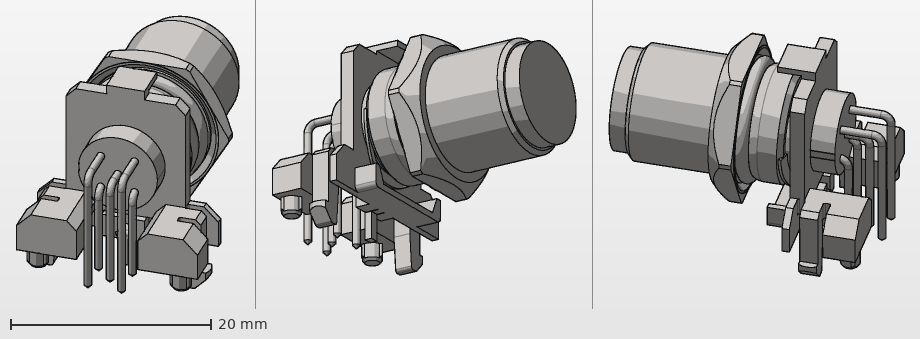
import cadquery as cq
import math


body_diameter = 12.0
collar_diameter = 10.6
shoulder_diameter = 11.1
neck_diameter = 9.7
drum_diameter = 8.3
front_end = 20.47
shoulder_front = 18.75
ring_seat_back = 5.97
ring_seat_radius = 5.65
rim_round_start = 5.0
rim_chamfer_start = 3.0
rim_back = 2.43
drum_length = 2.55
key_groove_width = 0.8
key_groove_depth = 0.08

seal_section_radius = 0.7
seal_outer_radius = 6.47
seal_station = 6.67

nut_flats = 15.0
nut_corner_radius = 8.52
nut_front = 9.8
nut_back = 7.03
nut_chamfer = 1.52
washer_height = 0.08
nut_countersink_radius = 7.25
nut_bore_radius = 6.5

plate_thickness = 1.5
plate_half_width = 6.28
plate_top = 7.5
plate_chamfer = 1.05
lug_top = 8.5
lug_half_width = 2.0
lug_front = 3.95
lug_thickness = 0.65

holder_width = 19.0
holder_top = -4.2
holder_bottom = -8.52
holder_outer_chamfer = 1.52
holder_ledge = -6.05
wing_thickness = 0.77
foot_inner = 3.2
foot_inner_chamfer = 1.02
foot_rear = -6.09
foot_block_front = -2.7
slot_corner_radius = 0.17

disc_slope = 0.3
disc_side_station = 2.82
disc_flat_station = 1.77
disc_thickness = 0.3
disc_top = 0.05
channel_wall = 0.66
channel_floor_half_width = 4.5
channel_corner_radius = 0.55

arm_front = -0.08
arm_rear = -1.96
arm_outer = 8.52
arm_chamfer = 0.55
arm_inner_top = 6.65
arm_inner_bottom = 6.97
hook_reach = 9.3
hook_ledge = -10.18
hook_tip_bottom = -10.73
hook_bottom = -12.2
hook_heel = 7.85
hook_round = 0.33
hook_nose_radius = 1.8

peg_x = 7.5
peg_y = -5.05
peg_diameter = 2.0
peg_tip_diameter = 1.55
peg_bottom = -10.35
peg_tip_slope = 1.3
peg_rib_diameter = 0.4
peg_rib_angles = (90, 210, 330)

rib_inner = 0.58
rib_outer = 2.25
rib_rear = -0.77
shelf_half_width = 0.77
shelf_rear = -0.85
shelf_top = -7.6
shelf_round = 0.41
shelf_taper_start = -8.05
tongue_half_width = 0.5
tongue_front = -0.08
tongue_bottom = -11.42

pin_diameter = 0.8
pin_pitch = 1.77
pin_tail_pitch = 1.75
pin_bend_radius = 1.0
pin_rear_end = -7.2
pin_bottom = -10.73

OVERLAP = 0.28

holder_half_width = holder_width / 2
body_radius = body_diameter / 2
neck_radius = neck_diameter / 2
pin_radius = pin_diameter / 2
wing_rear = plate_thickness - wing_thickness
pin_center_y = pin_rear_end + pin_tail_pitch + pin_radius
arm_middle = (arm_front + arm_rear) / 2


def box(x_range, y_range, z_range):
    """Axis-aligned block between pairs of limits."""
    limits = (x_range, y_range, z_range)
    lengths = [high - low for low, high in limits]
    corner = [low for low, high in limits]
    return cq.Workplane("XY").box(*lengths, centered=False).translate(tuple(corner))


def prism_along_y(outline, y_low, y_high):
    """Extrude an (x, z) outline between two Y stations."""
    return cq.Workplane("XZ", origin=(0, y_high, 0)).polyline(outline).close().extrude(y_high - y_low)


def rod_along_y(radius, y_low, y_high):
    return cq.Workplane("XZ", origin=(0, y_high, 0)).circle(radius).extrude(y_high - y_low)


def both_sides(solid):
    """A right-hand feature together with its mirror image."""
    return solid.union(solid.mirror("YZ"))


def make_body():
    """Revolved shell, from the mating collar back to the neck."""
    shoulder_radius = shoulder_diameter / 2
    shoulder_back = shoulder_front - (body_radius - shoulder_radius)
    rim_drop = body_radius - ring_seat_radius
    rim_length = rim_round_start - ring_seat_back
    round_radius = (rim_length**2 + rim_drop**2) / (2 * rim_drop)
    half_angle = math.asin(-rim_length / round_radius) / 2
    round_middle = (
        body_radius - round_radius * (1 - math.cos(half_angle)),
        rim_round_start + round_radius * math.sin(half_angle),
    )
    rim_back_radius = body_radius - (rim_chamfer_start - rim_back)
    shell = (
        cq.Workplane("XY")
        .moveTo(0, 0)
        .lineTo(neck_radius, 0)
        .lineTo(neck_radius, rim_back)
        .lineTo(rim_back_radius, rim_back)
        .lineTo(body_radius, rim_chamfer_start)
        .lineTo(body_radius, rim_round_start)
        .threePointArc(round_middle, (ring_seat_radius, ring_seat_back))
        .lineTo(ring_seat_radius, seal_station)
        .lineTo(body_radius, seal_station)
        .lineTo(body_radius, shoulder_back)
        .lineTo(shoulder_radius, shoulder_front)
        .lineTo(collar_diameter / 2, shoulder_front)
        .lineTo(collar_diameter / 2, front_end)
        .lineTo(0, front_end)
        .close()
        .revolve(360, (0, 0), (0, 1))
    )
    seal_mean_radius = seal_outer_radius - seal_section_radius
    seal = (
        cq.Workplane("XY", origin=(-seal_mean_radius, seal_station, 0))
        .circle(seal_section_radius)
        .revolve(360, (seal_mean_radius, 0), (seal_mean_radius, 1))
    )
    return shell.union(seal)


def make_nut():
    """Hexagon with a coned front, a washer face and a countersunk recess for the seal."""
    across_corners = nut_flats / math.cos(math.pi / 6)
    washer_back = nut_back - washer_height
    hexagon = (
        cq.Workplane("XZ", origin=(0, nut_front, 0))
        .polygon(6, across_corners)
        .extrude(nut_front - nut_back)
    )
    turned_limit = (
        cq.Workplane("XY")
        .polyline([
            (0, nut_back),
            (nut_corner_radius, nut_back),
            (nut_corner_radius, nut_front - nut_chamfer),
            (nut_corner_radius - nut_chamfer, nut_front),
            (0, nut_front),
        ])
        .close()
        .revolve(360, (0, 0), (0, 1))
    )
    recess = (
        cq.Workplane("XY")
        .polyline([
            (0, washer_back),
            (nut_countersink_radius, washer_back),
            (nut_bore_radius, washer_back + nut_countersink_radius - nut_bore_radius),
            (nut_bore_radius, seal_station + seal_section_radius),
            (0, seal_station + seal_section_radius),
        ])
        .close()
        .revolve(360, (0, 0), (0, 1))
    )
    washer = rod_along_y(nut_flats / 2, washer_back, nut_back)
    return hexagon.intersect(turned_limit).union(washer).cut(recess)


def make_drum():
    """Rear insulator with a shallow key groove on its -X side."""
    drum_radius = drum_diameter / 2
    drum = rod_along_y(drum_radius, -drum_length, 0)
    groove = box(
        (-drum_radius - OVERLAP, key_groove_depth - drum_radius),
        (-drum_length, 0),
        (-key_groove_width / 2, key_groove_width / 2),
    )
    return drum.cut(groove)


def make_plate():
    chamfer_x = plate_half_width - plate_chamfer
    right_edge = [
        (plate_half_width, holder_ledge),
        (plate_half_width, plate_top - plate_chamfer),
        (chamfer_x, plate_top),
    ]
    left_edge = [(-x, z) for x, z in reversed(right_edge)]
    plate = prism_along_y(right_edge + left_edge, 0, plate_thickness)
    lug_x = (-lug_half_width, lug_half_width)
    lug_stem = box(lug_x, (0, plate_thickness), (plate_top - OVERLAP, lug_top))
    lug_roof = box(lug_x, (0, lug_front), (lug_top - lug_thickness, lug_top))
    return plate.union(lug_stem).union(lug_roof)


def make_bent_disc():
    """Half disc of even thickness: flat in the middle, its sides bent forward."""
    flat_half_width = body_radius - (disc_side_station - disc_flat_station) / disc_slope
    front_edge = [
        (body_radius, disc_side_station),
        (flat_half_width, disc_flat_station),
        (-flat_half_width, disc_flat_station),
        (-body_radius, disc_side_station),
    ]
    back_edge = [(x, y - disc_thickness) for x, y in reversed(front_edge)]
    bent_sheet = (
        cq.Workplane("XY", origin=(0, 0, -body_radius))
        .polyline(front_edge + back_edge)
        .close()
        .extrude(body_radius + disc_top)
    )
    return bent_sheet.intersect(rod_along_y(body_radius, 0, disc_side_station))


def make_channel():
    """Open channel below the body, its inner walls leaning inward to the floor."""
    channel = (
        box((-body_radius, body_radius), (wing_rear, lug_front), (holder_bottom, holder_ledge))
        .edges("|Y and <Z")
        .fillet(channel_corner_radius)
    )
    mouth_half_width = body_radius - channel_wall
    floor_z = holder_bottom + channel_wall
    hollow = prism_along_y(
        [
            (mouth_half_width, holder_ledge),
            (channel_floor_half_width, floor_z),
            (-channel_floor_half_width, floor_z),
            (-mouth_half_width, holder_ledge),
        ],
        plate_thickness,
        lug_front,
    )
    return channel.cut(hollow)


def make_holder():
    """Front wall with wings, and a foot with a snap arm on either side."""
    shoulder_x = holder_half_width - holder_outer_chamfer
    shoulder_z = holder_top - holder_outer_chamfer
    outer_edge = [
        (shoulder_x, holder_top),
        (holder_half_width, shoulder_z),
        (holder_half_width, holder_bottom),
    ]
    wall = prism_along_y(
        outer_edge + [(-x, z) for x, z in reversed(outer_edge)], wing_rear, plate_thickness
    )

    inner_edge = [
        (foot_inner, holder_top - foot_inner_chamfer),
        (foot_inner + foot_inner_chamfer, holder_top),
    ]
    block = prism_along_y(
        inner_edge + outer_edge + [(foot_inner, holder_bottom)], foot_rear, foot_block_front
    )
    bridge_end = plate_half_width + slot_corner_radius
    bridge = prism_along_y(
        inner_edge + [
            (bridge_end, holder_top),
            (bridge_end, holder_ledge),
            (foot_inner, holder_ledge),
        ],
        foot_block_front,
        wing_rear,
    )
    arm = prism_along_y(
        [
            (plate_half_width, holder_top),
            (arm_outer - arm_chamfer, holder_top),
            (arm_outer, holder_top - arm_chamfer),
            (arm_outer, holder_bottom),
            (arm_inner_top, holder_bottom),
            (arm_inner_top, holder_ledge),
            (plate_half_width, holder_ledge),
        ],
        arm_rear,
        arm_front,
    )
    foot = block.union(bridge).union(arm)
    foot = foot.cut(make_slot(arm_front, wing_rear)).cut(make_slot(foot_block_front, arm_rear))
    holder = wall.union(make_plate()).union(both_sides(foot))
    return holder.union(both_sides(make_hook()))


def make_slot(y_low, y_high):
    """Gap beside a snap arm, with rounded corners at its inner end."""
    return (
        box((plate_half_width, holder_half_width), (y_low, y_high), (holder_bottom, holder_top))
        .edges("|Z and <X")
        .fillet(slot_corner_radius)
    )


def make_hook():
    """Lower end of a snap arm, with a nose rounded in plan."""
    hook = (
        prism_along_y(
            [
                (arm_inner_top, holder_bottom),
                (arm_outer, holder_bottom),
                (arm_outer, hook_ledge),
                (hook_reach, hook_ledge),
                (hook_reach, hook_tip_bottom),
                (hook_heel, hook_bottom),
                (arm_inner_bottom, hook_bottom),
            ],
            arm_rear,
            arm_front,
        )
        .edges("|Y and <Z")
        .fillet(hook_round)
    )
    nose = (
        cq.Workplane("XY", origin=(hook_reach - hook_nose_radius, arm_middle, hook_bottom))
        .circle(hook_nose_radius)
        .extrude(holder_bottom - hook_bottom)
    )
    shank = box((0, arm_outer), (arm_rear, arm_front), (hook_bottom, holder_bottom))
    return hook.intersect(nose.union(shank))


def make_peg():
    """Round peg with three crush ribs; one cone trims the tips of all of them."""
    peg_radius = peg_diameter / 2
    tip_radius = peg_tip_diameter / 2
    peg_top = holder_bottom + OVERLAP
    peg_length = peg_top - peg_bottom
    start = cq.Workplane("XY", origin=(0, 0, peg_bottom))
    rib_places = [
        (peg_radius * math.cos(math.radians(angle)), peg_radius * math.sin(math.radians(angle)))
        for angle in peg_rib_angles
    ]
    ribs = start.pushPoints(rib_places).circle(peg_rib_diameter / 2).extrude(peg_length)
    cone_top_radius = tip_radius + peg_length / peg_tip_slope
    tip_cone = cq.Workplane(cq.Solid.makeCone(
        tip_radius, cone_top_radius, peg_length, pnt=cq.Vector(0, 0, peg_bottom)
    ))
    peg = start.circle(peg_radius).extrude(peg_length).union(ribs).intersect(tip_cone)
    return peg.translate((peg_x, peg_y, 0))


def make_center_tongue():
    """Tongue and shelf, with the two ribs that carry the shelf on the wall."""
    rib = box((rib_inner, rib_outer), (rib_rear, wing_rear), (holder_bottom, holder_ledge))
    shelf = (
        prism_along_y(
            [
                (-shelf_half_width, shelf_top),
                (shelf_half_width, shelf_top),
                (shelf_half_width, shelf_taper_start),
                (tongue_half_width, holder_bottom),
                (-tongue_half_width, holder_bottom),
                (-shelf_half_width, shelf_taper_start),
            ],
            shelf_rear,
            wing_rear,
        )
        .edges("|X and >Z and <Y")
        .fillet(shelf_round)
    )
    tongue = box(
        (-tongue_half_width, tongue_half_width),
        (shelf_rear, tongue_front),
        (tongue_bottom, holder_bottom),
    )
    return both_sides(rib).union(shelf).union(tongue)


def make_pin(column, row):
    """Contact leaving the drum rearward and bent down to a pointed tail."""
    x = column * pin_pitch
    z = row * pin_pitch
    tail_y = pin_center_y - row * pin_tail_pitch
    bend_start = tail_y + pin_bend_radius
    bend_shift = pin_bend_radius * (1 - math.sqrt(0.5))
    path = (
        cq.Workplane("YZ", origin=(x, 0, 0))
        .moveTo(0, z)
        .lineTo(bend_start, z)
        .threePointArc((tail_y + bend_shift, z - bend_shift), (tail_y, z - pin_bend_radius))
        .lineTo(tail_y, pin_bottom)
    )
    wire = cq.Workplane("XZ", origin=(x, 0, z)).circle(pin_radius).sweep(path)
    point = cq.Workplane(cq.Solid.makeCone(
        pin_radius, 0, pin_radius, pnt=cq.Vector(x, tail_y, pin_bottom), dir=cq.Vector(0, 0, -1)
    ))
    return wire.union(point)


result = make_body().union(make_nut()).union(make_holder())
result = result.union(make_bent_disc()).union(make_channel())
result = result.union(make_drum()).union(both_sides(make_peg())).union(make_center_tongue())

pin_grid = [(0, 0), (-1, -1), (-1, 1), (1, -1), (1, 1)]
for column, row in pin_grid:
    result = result.union(make_pin(column, row))